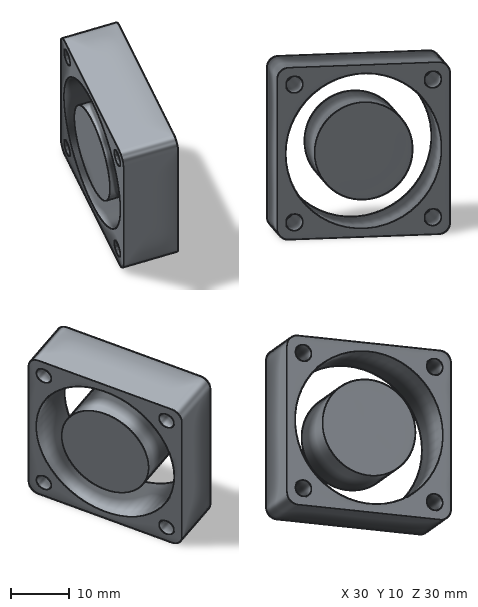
import cadquery as cq

frame_side = 30.0
depth = 10.0
corner_radius = 2.0
bore_diameter = 27.0

screw_hole_diameter = 2.9
screw_hole_spacing = 24.0

hub_diameter = 17.0


def front_plane():
    """XZ plane at the front face, with its normal toward -Y; the depth runs behind it."""
    return cq.Workplane("XZ", origin=(0, -depth / 2, 0))


def make_bore_cutter():
    return front_plane().circle(bore_diameter / 2).extrude(-depth)


def make_screw_hole_cutters():
    return (
        front_plane()
        .rect(screw_hole_spacing, screw_hole_spacing, forConstruction=True)
        .vertices()
        .circle(screw_hole_diameter / 2)
        .extrude(-depth)
    )


def make_frame():
    block = cq.Workplane("XY").box(frame_side, depth, frame_side)
    rounded_block = block.edges("|Y").fillet(corner_radius)
    return rounded_block.cut(make_bore_cutter()).cut(make_screw_hole_cutters())


def make_hub():
    return front_plane().circle(hub_diameter / 2).extrude(-depth)


frame = make_frame()
hub = make_hub()

result = cq.Compound.makeCompound([frame.solids().val(), hub.solids().val()])